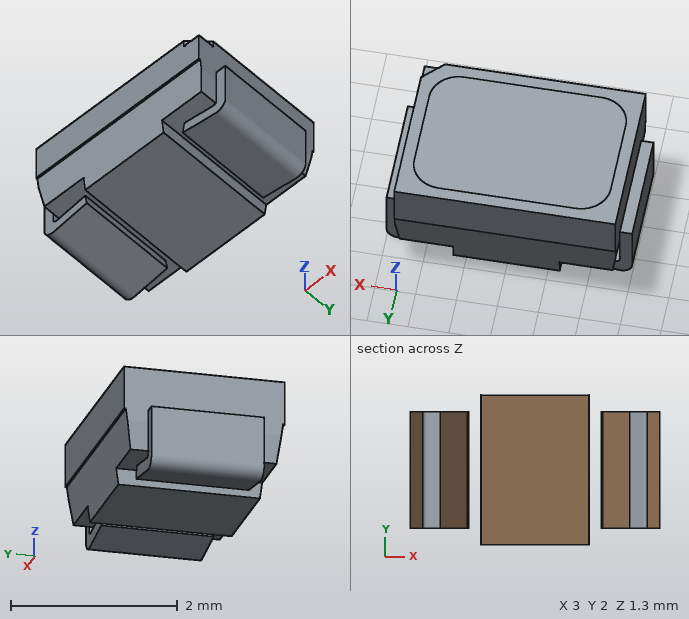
import cadquery as cq
import math

OVERALL_LENGTH = 3.0
OVERALL_HEIGHT = 1.3

HOUSING_WIDTH = 2.0
RIM_DEPTH = 0.54
STEP_INSET = 0.02
STRAIGHT_END_DEPTH = 0.69
FLOOR_DEPTH = 1.04
PAD_DEPTH = 1.245
PAD_LENGTH = 1.3
SIDE_TAPER = 8.0
END_TAPER = 8.0
NOTCH_LEG = 0.25
NOTCH_DEPTH = 0.1

RIM_WALL = 0.15
LENS_CORNER_RADIUS = 0.36
LENS_DEPTH = RIM_DEPTH

LEAD_WIDTH = 1.4
LEAD_THICKNESS = 0.15
LEAD_OUTER_RADIUS = 0.14
LEAD_INNER_RADIUS = 0.05
FOOT_THICKNESS = 0.162
FOOT_TILT = 9.0
FOOT_REACH = 0.705

housing_length = OVERALL_LENGTH - 2 * LEAD_THICKNESS
rim_bottom = OVERALL_HEIGHT - RIM_DEPTH
floor_level = OVERALL_HEIGHT - FLOOR_DEPTH
pad_bottom = OVERALL_HEIGHT - PAD_DEPTH


def make_lengthwise_block():
    """Housing block seen along Y: straight ends that taper in below, with the pad underneath."""
    half_length = housing_length / 2
    taper_start = OVERALL_HEIGHT - STRAIGHT_END_DEPTH
    floor_half = half_length - (taper_start - floor_level) * math.tan(math.radians(END_TAPER))
    half_pad = PAD_LENGTH / 2
    return (
        cq.Workplane("XZ")
        .moveTo(-half_length, OVERALL_HEIGHT)
        .lineTo(-half_length, taper_start)
        .lineTo(-floor_half, floor_level)
        .lineTo(-half_pad, floor_level)
        .lineTo(-half_pad, pad_bottom)
        .lineTo(half_pad, pad_bottom)
        .lineTo(half_pad, floor_level)
        .lineTo(floor_half, floor_level)
        .lineTo(half_length, taper_start)
        .lineTo(half_length, OVERALL_HEIGHT)
        .close()
        .extrude(HOUSING_WIDTH / 2, both=True)
    )


def make_crosswise_block():
    """Housing block seen along X: straight rim, a small ledge, then tapered long sides."""
    half_width = HOUSING_WIDTH / 2
    ledge_half = half_width - STEP_INSET
    bottom_half = ledge_half - (rim_bottom - pad_bottom) * math.tan(math.radians(SIDE_TAPER))
    return (
        cq.Workplane("YZ")
        .moveTo(-half_width, OVERALL_HEIGHT)
        .lineTo(-half_width, rim_bottom)
        .lineTo(-ledge_half, rim_bottom)
        .lineTo(-bottom_half, pad_bottom)
        .lineTo(bottom_half, pad_bottom)
        .lineTo(ledge_half, rim_bottom)
        .lineTo(half_width, rim_bottom)
        .lineTo(half_width, OVERALL_HEIGHT)
        .close()
        .extrude(housing_length / 2, both=True)
    )


def make_notch():
    """Triangular cutter for the polarity mark at the +X, -Y top corner."""
    corner_x = housing_length / 2
    corner_y = -HOUSING_WIDTH / 2
    return (
        cq.Workplane("XY", origin=(0, 0, OVERALL_HEIGHT))
        .moveTo(corner_x, corner_y)
        .lineTo(corner_x, corner_y + NOTCH_LEG)
        .lineTo(corner_x - NOTCH_LEG, corner_y)
        .close()
        .extrude(-NOTCH_DEPTH)
    )


def make_lens():
    """Rounded block, flush with the housing top; it also gives the shape of the cup."""
    return (
        cq.Workplane("XY", origin=(0, 0, OVERALL_HEIGHT))
        .rect(housing_length - 2 * RIM_WALL, HOUSING_WIDTH - 2 * RIM_WALL)
        .extrude(-LENS_DEPTH)
        .edges("|Z")
        .fillet(LENS_CORNER_RADIUS)
    )


def make_housing(lens):
    return make_lengthwise_block().intersect(make_crosswise_block()).cut(make_notch()).cut(lens)


def make_lead():
    """Lead at the -X end: a vertical strip bent inwards into an upward-tilted foot."""
    tilt = math.radians(FOOT_TILT)
    slope = math.tan(tilt)
    outer_x = -OVERALL_LENGTH / 2
    inner_x = outer_x + LEAD_THICKNESS

    outer_corner_z = LEAD_OUTER_RADIUS * (1 - 1 / math.cos(tilt) - slope)
    inner_corner_z = outer_corner_z + LEAD_THICKNESS * slope + FOOT_THICKNESS / math.cos(tilt)
    tip_low = (outer_x + FOOT_REACH, outer_corner_z + FOOT_REACH * slope)
    tip_high = (
        tip_low[0] - FOOT_THICKNESS * math.sin(tilt),
        tip_low[1] + FOOT_THICKNESS * math.cos(tilt),
    )
    strip = (
        cq.Workplane("XZ")
        .moveTo(outer_x, rim_bottom)
        .lineTo(outer_x, outer_corner_z)
        .lineTo(*tip_low)
        .lineTo(*tip_high)
        .lineTo(inner_x, inner_corner_z)
        .lineTo(inner_x, rim_bottom)
        .close()
        .extrude(LEAD_WIDTH / 2, both=True)
    )
    outer_bend = cq.selectors.NearestToPointSelector((outer_x, 0, outer_corner_z))
    inner_bend = cq.selectors.NearestToPointSelector((inner_x, 0, inner_corner_z))
    return (
        strip.edges("|Y").edges(outer_bend).fillet(LEAD_OUTER_RADIUS)
        .edges("|Y").edges(inner_bend).fillet(LEAD_INNER_RADIUS)
    )


lens = make_lens()
housing = make_housing(lens)
leads = [make_lead().rotate((0, 0, 0), (0, 0, 1), angle).val() for angle in (0, 180)]

result = cq.Compound.makeCompound([housing.val(), lens.val(), *leads])